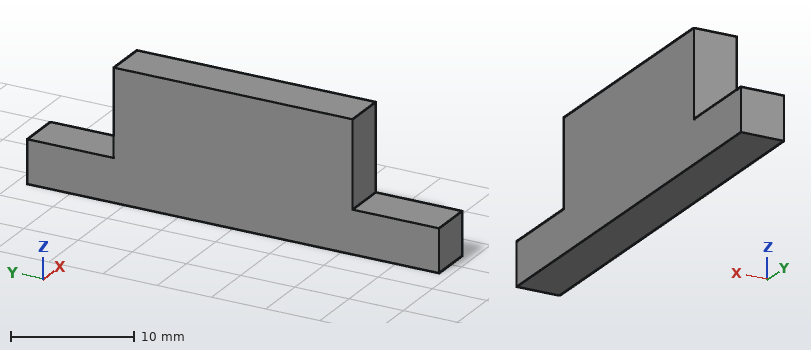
import cadquery as cq

length = 38.0
thickness = 4.0
height = 12.0
base_height = 4.0
tab_length = 7.98

block_length = length - 2 * tab_length

base = cq.Workplane("XY").box(thickness, length, base_height, centered=(True, True, False))

block = cq.Workplane("XY").box(thickness, block_length, height, centered=(True, True, False))

result = base.union(block).clean()